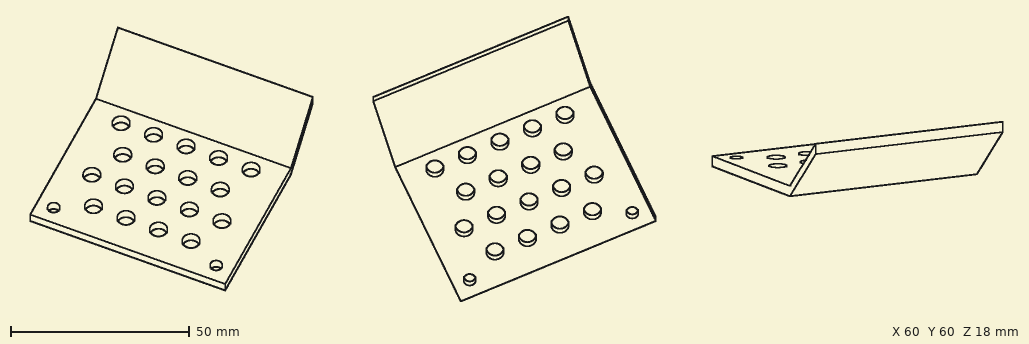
import cadquery as cq

side = 60.0
thickness = 3.0
flange_run = 15.0
flange_rise = flange_run
large_hole_diameter = 5.0
small_hole_diameter = 3.5

pitch = side / 6
row_count = 4
long_row_holes = 5
corner_inset = pitch / 2
bend_y = side - flange_run


def bent_plate():
    """Flat plate with a sloped flange that ends in a vertical rear face."""
    profile = [
        (0, 0),
        (bend_y, 0),
        (side, flange_rise),
        (side, flange_rise + thickness),
        (bend_y, thickness),
        (0, thickness),
    ]
    return cq.Workplane("YZ").polyline(profile).close().extrude(side)


def staggered_points():
    """Centres of the large holes: short and long rows alternate from the front."""
    points = []
    for row in range(row_count):
        count = long_row_holes - 1 if row % 2 == 0 else long_row_holes
        first_x = (side - (count - 1) * pitch) / 2
        y = (row + 1) * pitch
        points += [(first_x + i * pitch, y) for i in range(count)]
    return points


def hole_cutters(points, diameter):
    """Cylinders that pass through the flat plate."""
    return cq.Workplane("XY").pushPoints(points).circle(diameter / 2).extrude(thickness)


corner_points = [(corner_inset, corner_inset), (side - corner_inset, corner_inset)]

result = (
    bent_plate()
    .cut(hole_cutters(staggered_points(), large_hole_diameter))
    .cut(hole_cutters(corner_points, small_hole_diameter))
)